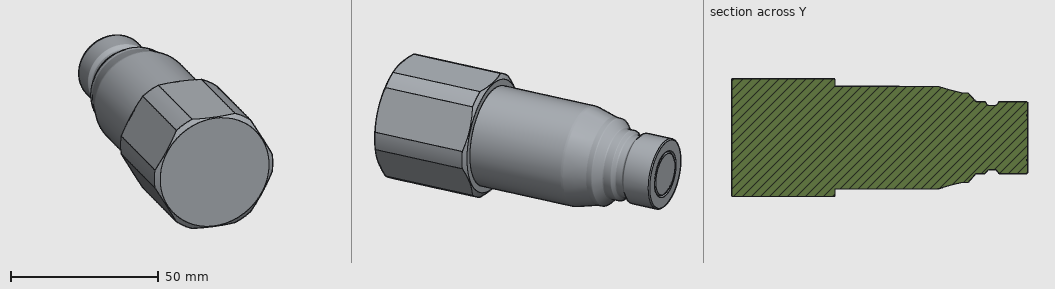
import cadquery as cq
import math

length = 100.6
across_flats = 40.0
across_corners = 43.0

nose_radius = 12.3
nose_edge = 0.4
groove_radius = 11.0
groove_start = 9.8
groove_floor_start = 10.8
groove_floor_end = 13.5
groove_end = 14.6

cone_start = 17.6
collar_radius = 15.3
collar_start = 20.3
collar_end = 22.3
body_radius = 17.5
body_start = 30.6
small_blend = 0.5
edge_blend = 0.3
body_blend = 3.0
blend_reach = 0.1

hex_start = 65.5
end_face_radius = 19.7
end_chamfer_angle = 30.0

ring_outer_radius = 8.1
ring_inner_radius = 7.2
ring_floor_radius = 7.6
ring_depth = 0.5


def turn(points):
    """Revolve an (X, radius) outline about the X axis."""
    return cq.Workplane("XY").polyline(points).close().revolve(360, (0, 0, 0), (1, 0, 0))


def make_body():
    profile = turn([
        (0, 0),
        (0, nose_radius - nose_edge),
        (nose_edge, nose_radius),
        (groove_start, nose_radius),
        (groove_floor_start, groove_radius),
        (groove_floor_end, groove_radius),
        (groove_end, nose_radius),
        (cone_start, nose_radius),
        (collar_start, collar_radius),
        (collar_end, collar_radius),
        (body_start, body_radius),
        (hex_start, body_radius),
        (hex_start, 0),
    ])
    blends = [
        (groove_start, edge_blend),
        (groove_floor_start, small_blend),
        (groove_floor_end, small_blend),
        (groove_end, edge_blend),
        (cone_start, small_blend),
        (collar_start, small_blend),
        (collar_end, small_blend),
        (body_start, body_blend),
    ]
    for x, radius in blends:
        edge = cq.selectors.BoxSelector(
            (x - blend_reach, -length, -length), (x + blend_reach, length, length)
        )
        profile = profile.edges("%CIRCLE").edges(edge).fillet(radius)
    return profile


def make_hex_end():
    corner_radius = across_corners / 2
    bevel_length = (corner_radius - end_face_radius) * math.tan(math.radians(end_chamfer_angle))
    blank = turn([
        (hex_start, 0),
        (hex_start, end_face_radius),
        (hex_start + bevel_length, corner_radius),
        (length - bevel_length, corner_radius),
        (length, end_face_radius),
        (length, 0),
    ])
    hexagon = (
        cq.Workplane("YZ", origin=(hex_start, 0, 0))
        .polygon(6, across_flats / math.cos(math.radians(30)))
        .extrude(length - hex_start)
    )
    return blank.intersect(hexagon)


def make_ring_groove():
    return turn([
        (0, ring_inner_radius),
        (ring_depth, ring_floor_radius),
        (0, ring_outer_radius),
    ])


result = make_body().union(make_hex_end()).cut(make_ring_groove())